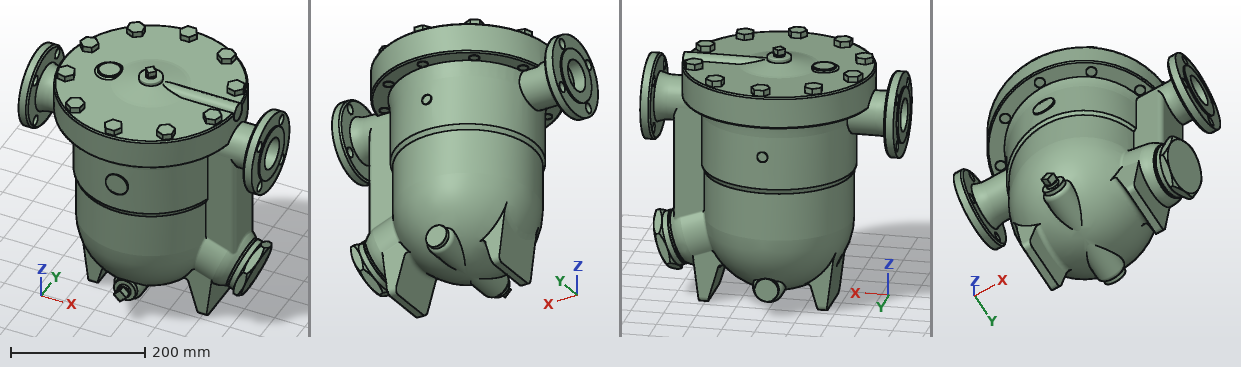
import cadquery as cq
import math


UPPER_RADIUS = 116.0
LOWER_RADIUS = 112.5
NECK_RADIUS = 119.0
DOME_CENTRE_Z = 132.5
STEP_BOTTOM_Z = 207.0
STEP_TOP_Z = 214.8
NECK_START_Z = 297.0
NECK_BULGE = 0.6

FLANGE_RADIUS = 145.0
FLANGE_BOTTOM_Z = 322.0
LID_TOP_Z = 371.5
FLANGE_EDGE_CHAMFER = 2.5
CONE_BASE_RADIUS = 60.0
CONE_RIM_RADIUS = 54.5
CONE_RIM_HEIGHT = 0.8
CONE_TOP_RADIUS = 16.0
CONE_TOP_Z = 380.5

BOLT_COUNT = 10
BOLT_CIRCLE_RADIUS = 128.0
BOLT_HEAD_WIDTH = 28.0
BOLT_HEAD_TOP_Z = 380.7
BOLT_TIP_DIAMETER = 16.0
BOLT_TIP_LENGTH = 1.0

PAD_DIAMETER = 36.0
PAD_ROUND = 1.5
LID_BOSS_TOP_Z = 386.0
STEM_DIAMETER = 16.0
SQUARE_BOTTOM_Z = 388.3
STEM_SQUARE = 12.7
OVERALL_HEIGHT = 397.0
LID_PAD_X = -68.5
LID_PAD_HEIGHT = 3.5
LID_PAD_FLARE_RUN = 4.0
LID_PAD_FLARE_HEIGHT = 1.5
RIB_RADIUS = 14.0
RIB_TOP_Z = 379.5
RIB_END_X = 145.0

SIDE_PAD_Z = 261.5
SIDE_PAD_REACH = 117.5
REAR_STUD_Z = 266.0
REAR_STUD_DIAMETER = 16.0

PIPE_Z = 306.5
PIPE_DIAMETER = 68.0
PIPE_FLARE_DIAMETER = 76.2
PIPE_FLARE_LENGTH = 19.5
PIPE_FLARE_BULGE = 1.0
PIPE_FLANGE_DIAMETER = 130.0
PIPE_FLANGE_THICKNESS = 15.0
PIPE_FLANGE_CHAMFER = 2.8
RAISED_FACE_DIAMETER = 85.0
RAISED_FACE_HEIGHT = 2.5
BORE_DIAMETER = 50.0
BORE_DEPTH = 20.0
PIPE_HOLE_DIAMETER = 16.0
PIPE_HOLE_COUNT = 4
PIPE_HOLE_CIRCLE_DIAMETER = 105.2
INLET_FACE_X = -191.0
OUTLET_FACE_X = 201.0

RISER_WIDTH = 67.5
RISER_END_X = 155.2
RISER_CORNER = 8.0

STRAINER_TILT = 20.0
STRAINER_END_X = 175.0
STRAINER_END_Z = 78.0
STRAINER_LENGTH = 158.8
COLLAR_RADIUS = 50.0
COLLAR_END = 47.0
COLLAR_BULGE = 1.4
COLLAR_FILLET = 4.5
COLLAR_FILLET_MIN_Z = 75.5
STRAINER_RADIUS = 42.0
GASKET_RADIUS = 40.5
STRAINER_FACE = 26.5
GASKET_FACE = 23.0
CAP_THICKNESS = 14.0
CAP_HEX_WIDTH = 97.5
CAP_CHAMFER_RADIUS = 42.0
CAP_CHAMFER_DEPTH = 4.0

DRAIN_Z = 44.5
DRAIN_RADIUS = 23.5
DRAIN_HALF_LENGTH = 89.7
DRAIN_PAD_LENGTH = 6.5
DRAIN_ROUND = 8.0
PLUG_NECK_DIAMETER = 20.5
PLUG_NECK_LENGTH = 4.8
PLUG_SQUARE = 14.5
PLUG_END = 106.0

FOOT_WIDTH = 89.5
FOOT_CORNER = 9.0
FOOT_SOLE_HALF = 6.5
LEFT_FOOT_X = -75.5
RIGHT_FOOT_X = 106.8
FOOT_OUTER_TILT = 7.2
FOOT_INNER_TILT = 16.2
FOOT_HEIGHT = 91.5
LEFT_FOOT_INNER_HEIGHT = 53.5
RIGHT_FOOT_INNER_HEIGHT = 73.5
FOOT_INNER_FILLET = 6.0
FOOT_OUTER_FILLET = 20.0


def cylinder_z(diameter, bottom, top, x=0.0, y=0.0):
    """Upright cylinder between two heights."""
    return cq.Workplane("XY", origin=(x, y, bottom)).circle(diameter / 2).extrude(top - bottom)


def square_bar(width, length):
    """Square bar along local Z with its corners on the local X and Y axes."""
    return cq.Workplane("XY").rect(width, width).extrude(length).rotate((0, 0, 0), (0, 0, 1), 45)


def make_body():
    """Domed vessel with a flared neck, body flange and lid, turned as one profile."""
    neck_middle = (
        (UPPER_RADIUS + NECK_RADIUS) / 2 - NECK_BULGE,
        (NECK_START_Z + FLANGE_BOTTOM_Z) / 2,
    )
    dome_middle = LOWER_RADIUS * math.sqrt(0.5)
    edge = FLANGE_EDGE_CHAMFER
    return (
        cq.Workplane("XZ")
        .moveTo(0, DOME_CENTRE_Z - LOWER_RADIUS)
        .threePointArc((dome_middle, DOME_CENTRE_Z - dome_middle), (LOWER_RADIUS, DOME_CENTRE_Z))
        .lineTo(LOWER_RADIUS, STEP_BOTTOM_Z)
        .lineTo(UPPER_RADIUS, STEP_TOP_Z)
        .lineTo(UPPER_RADIUS, NECK_START_Z)
        .threePointArc(neck_middle, (NECK_RADIUS, FLANGE_BOTTOM_Z))
        .lineTo(FLANGE_RADIUS - edge, FLANGE_BOTTOM_Z)
        .lineTo(FLANGE_RADIUS, FLANGE_BOTTOM_Z + edge)
        .lineTo(FLANGE_RADIUS, LID_TOP_Z - edge)
        .lineTo(FLANGE_RADIUS - edge, LID_TOP_Z)
        .lineTo(CONE_BASE_RADIUS, LID_TOP_Z)
        .lineTo(CONE_RIM_RADIUS, LID_TOP_Z + CONE_RIM_HEIGHT)
        .lineTo(CONE_TOP_RADIUS, CONE_TOP_Z)
        .lineTo(0, CONE_TOP_Z)
        .close()
        .revolve(360, (0, 0, 0), (0, 1, 0))
        .rotate((0, 0, 0), (0, 0, 1), 90)
    )


def make_lid_bolts():
    """Ring of hexagon heads above the lid with the bolt tips showing under the flange."""
    head = (
        cq.Workplane("XY", origin=(0, BOLT_CIRCLE_RADIUS, LID_TOP_Z))
        .polygon(6, BOLT_HEAD_WIDTH)
        .extrude(BOLT_HEAD_TOP_Z - LID_TOP_Z)
    )
    tip_bottom = FLANGE_BOTTOM_Z - BOLT_TIP_LENGTH
    shank = cylinder_z(BOLT_TIP_DIAMETER, tip_bottom, LID_TOP_Z, y=BOLT_CIRCLE_RADIUS)
    bolt = head.union(shank)
    bolts = cq.Workplane("XY")
    for index in range(BOLT_COUNT):
        bolts = bolts.add(bolt.rotate((0, 0, 0), (0, 0, 1), index * 360 / BOLT_COUNT))
    return bolts.combine()


def make_lid_fittings():
    """Central boss with a square-headed stem, a round pad and the half-round rib."""
    boss = cylinder_z(PAD_DIAMETER, LID_TOP_Z, LID_BOSS_TOP_Z).faces(">Z").edges().fillet(PAD_ROUND)
    neck = cylinder_z(STEM_DIAMETER, LID_TOP_Z, SQUARE_BOTTOM_Z)
    square = square_bar(STEM_SQUARE, OVERALL_HEIGHT - SQUARE_BOTTOM_Z).translate((0, 0, SQUARE_BOTTOM_Z))
    pad_radius = PAD_DIAMETER / 2
    flare_radius = pad_radius + LID_PAD_FLARE_RUN
    pad = (
        cq.Workplane("XZ")
        .polyline([
            (0, -LID_PAD_HEIGHT),
            (flare_radius, -LID_PAD_HEIGHT),
            (flare_radius, 0),
            (pad_radius, LID_PAD_FLARE_HEIGHT),
            (pad_radius, LID_PAD_HEIGHT - PAD_ROUND),
            (pad_radius - PAD_ROUND, LID_PAD_HEIGHT),
            (0, LID_PAD_HEIGHT),
        ])
        .close()
        .revolve(360, (0, 0, 0), (0, 1, 0))
        .translate((LID_PAD_X, 0, LID_TOP_Z))
    )
    rib = cq.Workplane("YZ", origin=(0, 0, RIB_TOP_Z - RIB_RADIUS)).circle(RIB_RADIUS).extrude(RIB_END_X)
    return boss.union(neck).union(square).union(pad).union(rib)


def make_side_pads():
    """Round pad on the front of the body and a smaller stud on the back."""
    pad = cq.Workplane("XZ", origin=(0, 0, SIDE_PAD_Z)).circle(PAD_DIAMETER / 2).extrude(SIDE_PAD_REACH)
    stud = (
        cq.Workplane("XZ", origin=(0, 0, REAR_STUD_Z))
        .circle(REAR_STUD_DIAMETER / 2)
        .extrude(-SIDE_PAD_REACH)
    )
    return pad.union(stud)


def make_pipe(face_distance):
    """Flanged pipe along +X from the Z axis, with its raised face at face_distance."""
    flange_front = face_distance - RAISED_FACE_HEIGHT
    flange_back = flange_front - PIPE_FLANGE_THICKNESS
    flare_start = flange_back - PIPE_FLARE_LENGTH
    pipe_radius = PIPE_DIAMETER / 2
    flare_radius = PIPE_FLARE_DIAMETER / 2
    flange_radius = PIPE_FLANGE_DIAMETER / 2
    face_radius = RAISED_FACE_DIAMETER / 2
    flare_middle = (
        (flare_start + flange_back) / 2,
        (pipe_radius + flare_radius) / 2 - PIPE_FLARE_BULGE,
    )
    pipe = (
        cq.Workplane("XY")
        .moveTo(0, 0)
        .lineTo(0, pipe_radius)
        .lineTo(flare_start, pipe_radius)
        .threePointArc(flare_middle, (flange_back, flare_radius))
        .lineTo(flange_back, flange_radius - PIPE_FLANGE_CHAMFER)
        .lineTo(flange_back + PIPE_FLANGE_CHAMFER, flange_radius)
        .lineTo(flange_front, flange_radius)
        .lineTo(flange_front, face_radius)
        .lineTo(face_distance, face_radius)
        .lineTo(face_distance, 0)
        .close()
        .revolve(360, (0, 0, 0), (1, 0, 0))
    )
    bore = cq.Workplane("YZ", origin=(face_distance, 0, 0)).circle(BORE_DIAMETER / 2).extrude(-BORE_DEPTH)
    holes = (
        cq.Workplane("YZ", origin=(flange_front, 0, 0))
        .polarArray(PIPE_HOLE_CIRCLE_DIAMETER / 2, 45, 360, PIPE_HOLE_COUNT)
        .circle(PIPE_HOLE_DIAMETER / 2)
        .extrude(-PIPE_FLANGE_THICKNESS)
    )
    return pipe.cut(bore).cut(holes).translate((0, 0, PIPE_Z))


def place_strainer(solid):
    """Move a solid built along +X onto the sloping strainer axis."""
    tilted = solid.rotate((0, 0, 0), (0, 1, 0), STRAINER_TILT)
    return tilted.translate((STRAINER_END_X, 0, STRAINER_END_Z))


def make_strainer():
    """Sloping strainer branch: collar, blended barrel, gasket groove and hexagon cap."""
    shoulder_middle = (
        -(COLLAR_END + STRAINER_FACE) / 2,
        (COLLAR_RADIUS + STRAINER_RADIUS) / 2 + COLLAR_BULGE,
    )
    barrel = (
        cq.Workplane("XY")
        .moveTo(-STRAINER_LENGTH, 0)
        .lineTo(-STRAINER_LENGTH, COLLAR_RADIUS)
        .lineTo(-COLLAR_END, COLLAR_RADIUS)
        .threePointArc(shoulder_middle, (-STRAINER_FACE, STRAINER_RADIUS))
        .lineTo(-STRAINER_FACE, GASKET_RADIUS)
        .lineTo(-GASKET_FACE, GASKET_RADIUS)
        .lineTo(-GASKET_FACE, STRAINER_RADIUS)
        .lineTo(-CAP_THICKNESS, STRAINER_RADIUS)
        .lineTo(-CAP_THICKNESS, 0)
        .close()
        .revolve(360, (0, 0, 0), (1, 0, 0))
    )
    corner_radius = CAP_HEX_WIDTH / 2
    hexagon = (
        cq.Workplane("YZ")
        .polygon(6, CAP_HEX_WIDTH)
        .extrude(-CAP_THICKNESS)
        .rotate((0, 0, 0), (1, 0, 0), 90)
    )
    rounding = (
        cq.Workplane("XY")
        .polyline([
            (0, 0),
            (0, CAP_CHAMFER_RADIUS),
            (-CAP_CHAMFER_DEPTH, corner_radius),
            (CAP_CHAMFER_DEPTH - CAP_THICKNESS, corner_radius),
            (-CAP_THICKNESS, CAP_CHAMFER_RADIUS),
            (-CAP_THICKNESS, 0),
        ])
        .close()
        .revolve(360, (0, 0, 0), (1, 0, 0))
    )
    return place_strainer(barrel.union(hexagon.intersect(rounding)))


def meets_collar(edge):
    """True for the joints of the collar with the dome, riser and foot sides."""
    if edge.geomType() == "CIRCLE" or edge.Center().z < COLLAR_FILLET_MIN_Z:
        return False
    tilt = math.radians(STRAINER_TILT)
    for position in (0, 0.5, 1):
        point = edge.positionAt(position)
        offset_x = point.x - STRAINER_END_X
        offset_z = point.z - STRAINER_END_Z
        along = offset_x * math.cos(tilt) - offset_z * math.sin(tilt)
        across = offset_x * math.sin(tilt) + offset_z * math.cos(tilt)
        outside_length = along < -STRAINER_LENGTH or along > -STRAINER_FACE
        outside_radius = math.hypot(across, point.y) > COLLAR_RADIUS + COLLAR_FILLET
        if outside_length or outside_radius:
            return False
    return True


def make_riser():
    """Upright passage from the strainer to the outlet pipe, nearly as wide as the pipe."""
    return (
        cq.Workplane("XY", origin=(RISER_END_X / 2, 0, STRAINER_END_Z))
        .rect(RISER_END_X, RISER_WIDTH)
        .extrude(PIPE_Z - STRAINER_END_Z)
        .edges("|Z and >X")
        .fillet(RISER_CORNER)
    )


def make_drain():
    """Drain barrel across the dome with a square-headed plug at the front end."""
    shoulder = DRAIN_HALF_LENGTH - DRAIN_PAD_LENGTH
    barrel = (
        cq.Workplane("XZ")
        .circle(DRAIN_RADIUS)
        .extrude(shoulder, both=True)
        .faces("<Y or >Y")
        .edges()
        .fillet(DRAIN_ROUND)
    )
    pads = cq.Workplane("XZ").circle(PAD_DIAMETER / 2).extrude(DRAIN_HALF_LENGTH, both=True)
    square_start = DRAIN_HALF_LENGTH + PLUG_NECK_LENGTH
    neck = cq.Workplane("XZ").circle(PLUG_NECK_DIAMETER / 2).extrude(square_start)
    square = (
        square_bar(PLUG_SQUARE, PLUG_END - square_start)
        .rotate((0, 0, 0), (1, 0, 0), 90)
        .translate((0, -square_start, 0))
    )
    return barrel.union(pads).union(neck).union(square).translate((0, 0, DRAIN_Z))


def make_foot(sole_x, outward, inner_height):
    """Tapered foot; outward is -1 for a foot facing -X and 1 for one facing +X."""
    outer_x = FOOT_SOLE_HALF + FOOT_HEIGHT * math.tan(math.radians(FOOT_OUTER_TILT))
    inner_x = -FOOT_SOLE_HALF - inner_height * math.tan(math.radians(FOOT_INNER_TILT))
    outline = [
        (-FOOT_SOLE_HALF, 0),
        (FOOT_SOLE_HALF, 0),
        (outer_x, FOOT_HEIGHT),
        (inner_x, FOOT_HEIGHT),
        (inner_x, inner_height),
    ]
    return (
        cq.Workplane("XZ")
        .polyline([(sole_x + outward * x, z) for x, z in outline])
        .close()
        .extrude(FOOT_WIDTH / 2, both=True)
        .faces("<Z")
        .edges("|X")
        .fillet(FOOT_CORNER)
    )


def dome_joint(start_x, end_x):
    """Select the curved joint between the dome and a foot face lying between two X positions."""
    return cq.selectors.BoxSelector(
        (start_x, -FOOT_CORNER, FOOT_CORNER),
        (end_x, FOOT_CORNER, FOOT_HEIGHT - FOOT_CORNER),
    )


result = make_body()
result = result.union(make_foot(LEFT_FOOT_X, -1, LEFT_FOOT_INNER_HEIGHT))
result = result.union(make_foot(RIGHT_FOOT_X, 1, RIGHT_FOOT_INNER_HEIGHT))
result = result.edges(dome_joint(LEFT_FOOT_X, RIGHT_FOOT_X)).fillet(FOOT_INNER_FILLET)
result = result.edges(dome_joint(-LOWER_RADIUS, LEFT_FOOT_X)).fillet(FOOT_OUTER_FILLET)
result = result.union(make_riser())
result = result.union(make_strainer())
result = result.edges().filter(meets_collar).fillet(COLLAR_FILLET)
result = result.union(make_pipe(OUTLET_FACE_X))
result = result.union(make_pipe(-INLET_FACE_X).mirror("YZ"))
result = result.union(make_lid_bolts())
result = result.union(make_lid_fittings())
result = result.union(make_side_pads())
result = result.union(make_drain())